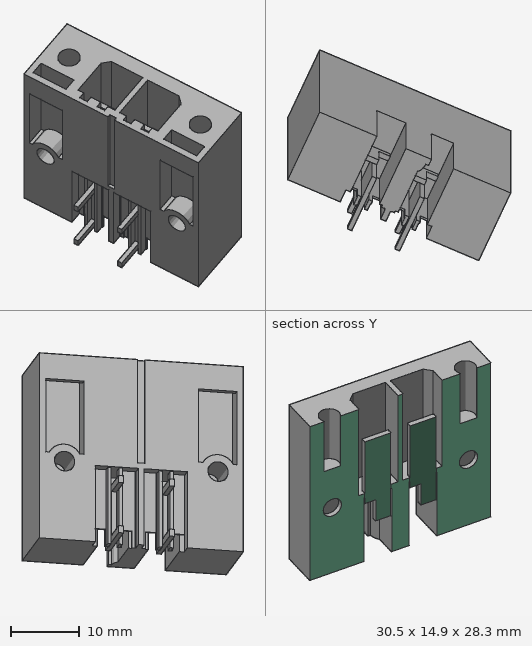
import cadquery as cq


LENGTH = 30.48
DEPTH = 11.4
HEIGHT = 28.3
PITCH = 7.62
CELL_X = PITCH / 2

FLOOR_Z = 12.5
SOCKET_INNER_X = 0.43
SOCKET_OUTER_X = 6.98
SOCKET_BACK_Y = 9.0
SOCKET_CHAMFER = 1.07
INNER_FRONT_Y = 1.62
OUTER_FRONT_Y = 1.83
KEY_RIB_WIDTH = 1.7
KEY_RIB_Y = 1.75
KEY_SLOTS_WIDTH = 4.35
KEY_SLOT_Y = 0.75

GROOVE_WIDTH = 1.1
GROOVE_DEPTH = 0.5

SCREW_X = 11.45
NUT_SLOT_X = 11.4
NUT_SLOT_WIDTH = 5.73
NUT_SLOT_FRONT_Y = 0.98
NUT_SLOT_BACK_Y = 3.08
NUT_SLOT_FLOOR_Z = 13.23
WINDOW_TOP_Z = 24.4
FRONT_HOLE_Z = 11.98
FRONT_HOLE_RADIUS = 1.5
FRONT_HOLE_DEPTH = 6.1
BOSS_RADIUS = 2.6
TOP_HOLE_Y = 6.22
TOP_HOLE_RADIUS = 1.62
TOP_HOLE_DEPTH = 9.15

POCKET_TOP_Z = 11.65
POCKET_INNER_X = 0.43
POCKET_OUTER_X = 6.85
POCKET_WALL_Y = 1.7
POCKET_CHAMFER = 0.15
RIB_STEP_LENGTH = 0.1
RIB_FRONT_Y = 0.43
RIBS_FRONT_WIDTH = 2.2
RIBS_BACK_WIDTH = 2.45
RIB_GAP = 1.2
NOTCH_TOP_Z = 2.55
NOTCH_INNER_X = 1.05
NOTCH_BACK_Y = 2.0
REAR_CAVITY_WIDTH = 4.63

KEY_POST_RADIUS = 2.13
KEY_WALL_THICKNESS = 1.05

BLADE_WIDTH = 4.42
BLADE_THICKNESS = 0.8
BLADE_FRONT_Y = 5.33
BLADE_BOTTOM_Z = 10.55
BLADE_TOP_Z = 21.95
EAR_BOTTOM_Z = 6.68
TAIL_THICKNESS = 0.73
TAIL_FRONT_Y = 1.1
TAIL_BOTTOM_Z = 0.5
TAIL_TOP_Z = 9.25
LEG_HEIGHT = 1.07
LEG_LENGTH = 3.5

BLADE_BACK_Y = BLADE_FRONT_Y + BLADE_THICKNESS
REAR_CAVITY_INNER_X = CELL_X - REAR_CAVITY_WIDTH / 2
RIBS_FRONT_INNER_X = CELL_X - RIBS_FRONT_WIDTH / 2
RIBS_BACK_INNER_X = CELL_X - RIBS_BACK_WIDTH / 2


def box(x_range, y_range, z_range):
    """Box between two limits along each axis."""
    sizes = [high - low for low, high in (x_range, y_range, z_range)]
    corner = (x_range[0], y_range[0], z_range[0])
    return cq.Workplane("XY").box(*sizes, centered=False).translate(corner)


def centered_range(center, width):
    return (center - width / 2, center + width / 2)


def socket():
    """Right-hand socket, open at the top, with two keying slots in its front wall."""
    slots_inner_x, slots_outer_x = centered_range(CELL_X, KEY_SLOTS_WIDTH)
    rib_inner_x, rib_outer_x = centered_range(CELL_X, KEY_RIB_WIDTH)
    outline = [
        (SOCKET_INNER_X, INNER_FRONT_Y),
        (slots_inner_x, INNER_FRONT_Y),
        (slots_inner_x, KEY_SLOT_Y),
        (rib_inner_x, KEY_SLOT_Y),
        (rib_inner_x, KEY_RIB_Y),
        (rib_outer_x, KEY_RIB_Y),
        (rib_outer_x, KEY_SLOT_Y),
        (slots_outer_x, KEY_SLOT_Y),
        (slots_outer_x, OUTER_FRONT_Y),
        (SOCKET_OUTER_X, OUTER_FRONT_Y),
        (SOCKET_OUTER_X, SOCKET_BACK_Y - SOCKET_CHAMFER),
        (SOCKET_OUTER_X - SOCKET_CHAMFER, SOCKET_BACK_Y),
        (SOCKET_INNER_X, SOCKET_BACK_Y),
    ]
    return (
        cq.Workplane("XY", origin=(0, 0, FLOOR_Z))
        .polyline(outline)
        .close()
        .extrude(HEIGHT - FLOOR_Z)
    )


def front_pockets():
    """Right-hand front pockets on both sides of the two recessed ribs.

    The inner rib is slightly thicker next to the pocket back wall.
    """
    pocket_z = (0, POCKET_TOP_Z)
    step_y = POCKET_WALL_Y - RIB_STEP_LENGTH
    inner = (
        box((POCKET_INNER_X, RIBS_BACK_INNER_X), (0, POCKET_WALL_Y), pocket_z)
        .edges("|Z and >Y and <X")
        .chamfer(POCKET_CHAMFER)
        .union(box((POCKET_INNER_X, RIBS_FRONT_INNER_X), (0, step_y), pocket_z))
    )
    outer_x = (CELL_X + RIBS_FRONT_WIDTH / 2, POCKET_OUTER_X)
    outer = box(outer_x, (0, POCKET_WALL_Y), pocket_z)
    rib_recess = box(centered_range(CELL_X, RIBS_FRONT_WIDTH), (0, RIB_FRONT_Y), pocket_z)
    return inner.union(outer).union(rib_recess)


def rear_cavity():
    """Right-hand cavity open at the back and bottom, with a low notch into the front pockets."""
    cavity_z = (0, POCKET_TOP_Z)
    ribs_x = centered_range(CELL_X, RIBS_BACK_WIDTH)
    cavity = box(centered_range(CELL_X, REAR_CAVITY_WIDTH), (NOTCH_BACK_Y, DEPTH), cavity_z)
    notch = box((NOTCH_INNER_X, POCKET_OUTER_X), (POCKET_WALL_Y, NOTCH_BACK_Y), (0, NOTCH_TOP_Z))
    ribs = box(ribs_x, (POCKET_WALL_Y, NOTCH_BACK_Y), cavity_z)
    rib_gap = box(centered_range(CELL_X, RIB_GAP), (0, BLADE_FRONT_Y), cavity_z)
    return cavity.union(notch).cut(ribs).union(rib_gap)


def nut_slot():
    """Right-hand nut slot with its window, cut around the boss of the front screw hole."""
    slot_x = centered_range(NUT_SLOT_X, NUT_SLOT_WIDTH)
    slot = box(slot_x, (NUT_SLOT_FRONT_Y, NUT_SLOT_BACK_Y), (NUT_SLOT_FLOOR_Z, HEIGHT))
    window = box(slot_x, (0, NUT_SLOT_BACK_Y), (NUT_SLOT_FLOOR_Z, WINDOW_TOP_Z))
    return slot.union(window).cut(front_cylinder(BOSS_RADIUS, NUT_SLOT_BACK_Y))


def front_cylinder(radius, depth):
    """Cylinder on the front screw axis, from the front face inwards."""
    return (
        cq.Workplane("XZ", origin=(SCREW_X, 0, FRONT_HOLE_Z)).circle(radius).extrude(-depth)
    )


def top_hole():
    return (
        cq.Workplane("XY", origin=(SCREW_X, TOP_HOLE_Y, HEIGHT))
        .circle(TOP_HOLE_RADIUS)
        .extrude(-TOP_HOLE_DEPTH)
    )


def left_key():
    """Wall with a rounded post that closes the inner channel of the left rear cavity."""
    wall_front_y = DEPTH - KEY_WALL_THICKNESS
    channel_x = (-RIBS_BACK_INNER_X, -REAR_CAVITY_INNER_X)
    wall = box(channel_x, (wall_front_y, DEPTH), (0, POCKET_TOP_Z))
    post = (
        cq.Workplane("XY", origin=(0, wall_front_y, 0))
        .circle(KEY_POST_RADIUS)
        .extrude(POCKET_TOP_Z)
        .intersect(box(channel_x, (0, DEPTH), (0, POCKET_TOP_Z)))
    )
    return wall.union(post)


def blade_at(center_x):
    """Flat blade that stands up through the socket floor."""
    return box(
        centered_range(center_x, BLADE_WIDTH),
        (BLADE_FRONT_Y, BLADE_BACK_Y),
        (BLADE_BOTTOM_Z, BLADE_TOP_Z),
    )


def make_housing():
    housing = box(centered_range(0, LENGTH), (0, DEPTH), (0, HEIGHT))
    cutters = (
        socket(),
        front_pockets(),
        rear_cavity(),
        nut_slot(),
        front_cylinder(FRONT_HOLE_RADIUS, FRONT_HOLE_DEPTH),
        top_hole(),
    )
    for cutter in cutters:
        housing = housing.cut(cutter).cut(cutter.mirror("YZ"))
    groove = box(centered_range(0, GROOVE_WIDTH), (0, GROOVE_DEPTH), (FLOOR_Z, HEIGHT))
    housing = housing.cut(groove).union(left_key())
    for side in (-1, 1):
        housing = housing.cut(blade_at(side * CELL_X))
    return housing


def make_contact(center_x):
    """Blade with a side ear that carries an upright tail plate and two solder legs."""
    tail_x = centered_range(center_x, TAIL_THICKNESS)
    ear_x = (tail_x[0], center_x + BLADE_WIDTH / 2)
    ear = box(ear_x, (BLADE_FRONT_Y, BLADE_BACK_Y), (EAR_BOTTOM_Z, BLADE_BOTTOM_Z))
    tail = box(tail_x, (TAIL_FRONT_Y, BLADE_FRONT_Y), (TAIL_BOTTOM_Z, TAIL_TOP_Z))
    contact = blade_at(center_x).union(ear).union(tail)
    for leg_bottom_z in (TAIL_BOTTOM_Z, TAIL_TOP_Z - LEG_HEIGHT):
        leg_z = (leg_bottom_z, leg_bottom_z + LEG_HEIGHT)
        contact = contact.union(box(tail_x, (-LEG_LENGTH, TAIL_FRONT_Y), leg_z))
    return contact


housing = make_housing().solids()
contacts = [make_contact(side * CELL_X).solids() for side in (-1, 1)]
result = cq.Compound.makeCompound([housing.val(), *[contact.val() for contact in contacts]])